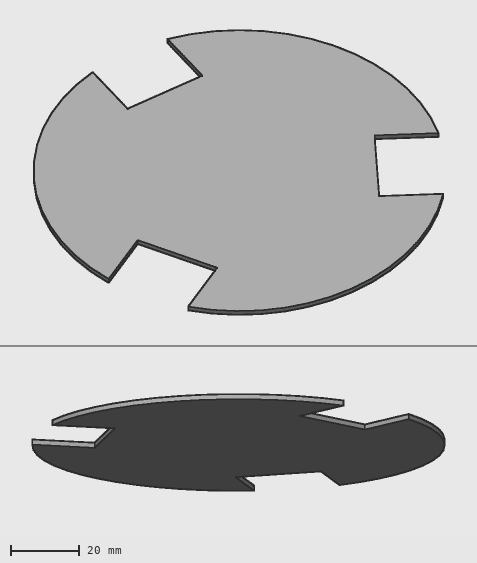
import cadquery as cq

disc_diameter = 120.0
thickness = 1.5
slot_count = 3
slot_width = 25.9
slot_floor_radius = 40.0
first_slot_angle = 180.0

disc_radius = disc_diameter / 2


def rim_slot(angle):
    """Rectangular through slot, open at the rim in the given direction."""
    cutter_length = disc_radius
    return (
        cq.Workplane("XY")
        .center(slot_floor_radius + cutter_length / 2, 0)
        .rect(cutter_length, slot_width)
        .extrude(thickness)
        .rotate((0, 0, 0), (0, 0, 1), angle)
    )


result = cq.Workplane("XY").circle(disc_radius).extrude(thickness)
for index in range(slot_count):
    result = result.cut(rim_slot(first_slot_angle + index * 360 / slot_count))